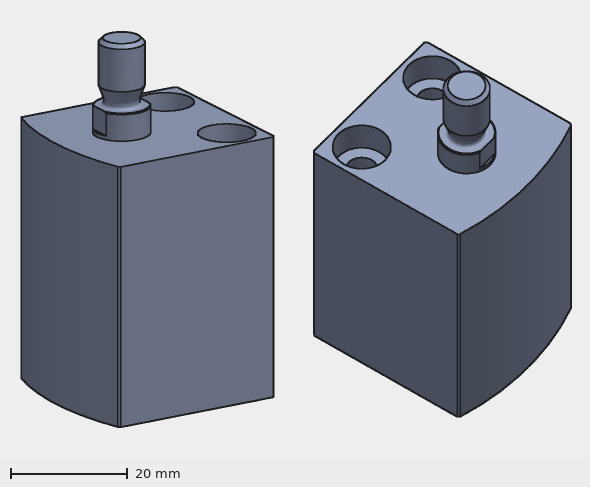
import cadquery as cq

total_height = 64.0
housing_width = 32.0
housing_height = 47.0
back_y = 21.0
front_y = -12.9
front_bulge = 2.5
back_chamfer = 0.4
front_chamfer = 0.3

hole_spacing = 20.0
hole_y = 15.0
hole_diameter = 5.5
counterbore_diameter = 10.0
counterbore_depth = 5.75

collar_diameter = 10.0
collar_height = 5.0
collar_chamfer = 0.2
flat_spacing = 8.95
flat_bottom = 0.7
neck_diameter = 6.2
neck_fillet = 0.65
neck_height = 1.15
taper_height = 2.4
stud_diameter = 8.0
stud_chamfer = 0.8


def make_housing():
    """Block with a bowed front face and two counterbored through holes."""
    half_width = housing_width / 2
    corner_y = front_y + front_bulge
    block = (
        cq.Workplane("XY")
        .moveTo(-half_width, back_y)
        .lineTo(-half_width, corner_y)
        .threePointArc((0, front_y), (half_width, corner_y))
        .lineTo(half_width, back_y)
        .close()
        .extrude(housing_height)
    )
    block = block.edges("|Z").edges(">Y").chamfer(back_chamfer)
    block = block.edges("|Z").edges("<Y").chamfer(front_chamfer)
    return (
        block.faces(">Z")
        .workplane(origin=(0, 0, housing_height))
        .pushPoints([(side * hole_spacing / 2, hole_y) for side in (-1, 1)])
        .cboreHole(hole_diameter, counterbore_diameter, counterbore_depth)
    )


def make_rod():
    """Turned rod end standing on the housing, with two wrench flats on its collar."""
    collar_radius = collar_diameter / 2
    neck_radius = neck_diameter / 2
    stud_radius = stud_diameter / 2
    collar_top = housing_height + collar_height
    neck_top = collar_top + neck_height
    stud_bottom = neck_top + taper_height
    rod = (
        cq.Workplane("XZ")
        .moveTo(0, housing_height)
        .lineTo(collar_radius, housing_height)
        .lineTo(collar_radius, collar_top - collar_chamfer)
        .lineTo(collar_radius - collar_chamfer, collar_top)
        .lineTo(neck_radius, collar_top)
        .lineTo(neck_radius, neck_top)
        .lineTo(stud_radius, stud_bottom)
        .lineTo(stud_radius, total_height - stud_chamfer)
        .lineTo(stud_radius - stud_chamfer, total_height)
        .lineTo(0, total_height)
        .close()
        .revolve(360, (0, 0), (0, 1))
    )
    rod = rod.edges("%CIRCLE").edges(cq.selectors.RadiusNthSelector(0)).fillet(neck_fillet)

    cut_depth = collar_diameter
    cut_centre = (flat_spacing + cut_depth) / 2
    flats = (
        cq.Workplane("XY", origin=(0, 0, housing_height + flat_bottom))
        .pushPoints([(0, side * cut_centre) for side in (-1, 1)])
        .rect(collar_diameter, cut_depth)
        .extrude(collar_height)
    )
    return rod.cut(flats)


housing = make_housing()
rod = make_rod()
result = cq.Compound.makeCompound([housing.val(), rod.val()])